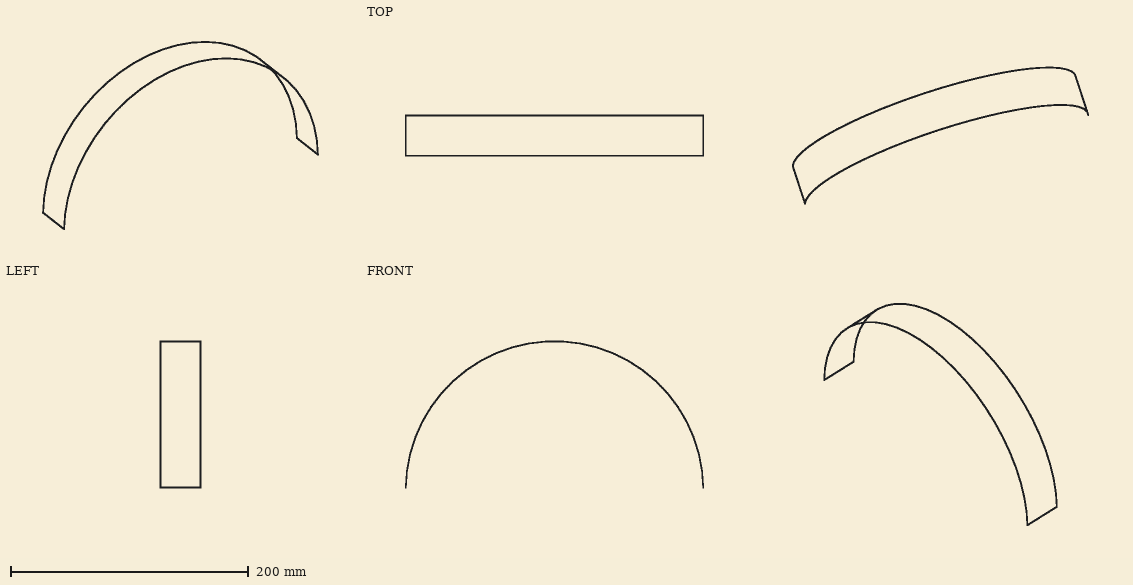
import cadquery as cq
import math

span = 250.6
rise = 123.3
width = 34.0
thickness = 0.1

outer_radius = ((span / 2) ** 2 + rise ** 2) / (2 * rise)
inner_radius = outer_radius - thickness
center_height = rise - outer_radius

foot_angle = math.asin(-center_height / outer_radius)


def arc_point(radius, angle):
    """Point in the XZ plane at an angle measured from +X about the arc centre."""
    return radius * math.cos(angle), center_height + radius * math.sin(angle)


crown_angle = math.pi / 2
left_foot_angle = math.pi - foot_angle

result = (
    cq.Workplane("XZ")
    .moveTo(*arc_point(outer_radius, foot_angle))
    .threePointArc(arc_point(outer_radius, crown_angle), arc_point(outer_radius, left_foot_angle))
    .lineTo(*arc_point(inner_radius, left_foot_angle))
    .threePointArc(arc_point(inner_radius, crown_angle), arc_point(inner_radius, foot_angle))
    .close()
    .extrude(width / 2, both=True)
)